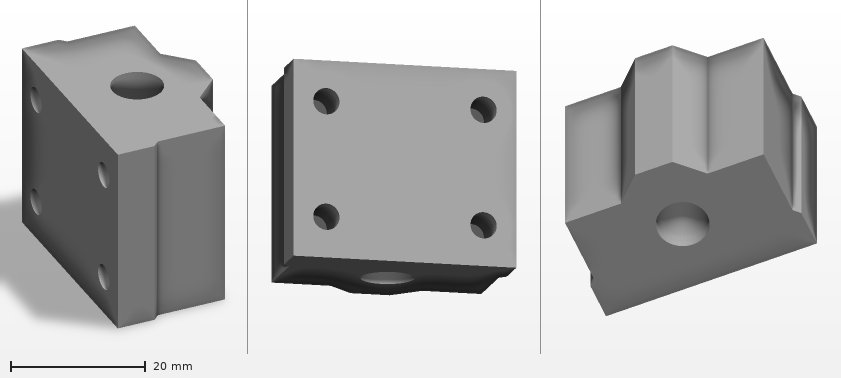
import cadquery as cq

base_width = 34.0
depth = 22.0
height = 30.0

base_depth = 6.0
body_width = 32.0
body_depth = 18.0
ridge_root_width = 14.0
ridge_top_width = 6.0
shoulder = (base_width - body_width) / 2

bore_diameter = 8.0
bore_y = 11.0

hole_diameter = 4.0
hole_depth = 8.0
hole_spacing_x = 24.0
hole_spacing_z = 17.6


def make_body():
    """Extrude the stepped, ridged profile, symmetric about X = 0."""
    right_half = [
        (base_width / 2, 0),
        (base_width / 2, base_depth),
        (body_width / 2, base_depth + shoulder),
        (body_width / 2, body_depth),
        (ridge_root_width / 2, body_depth),
        (ridge_top_width / 2, depth),
    ]
    left_half = [(-x, y) for x, y in reversed(right_half)]
    return cq.Workplane("XY").polyline(right_half + left_half).close().extrude(height)


def make_bore():
    """Cylinder that opens the vertical bore."""
    return cq.Workplane("XY").center(0, bore_y).circle(bore_diameter / 2).extrude(height)


def make_mounting_holes():
    """Four flat-bottomed cylinders entering the Y = 0 face."""
    return (
        cq.Workplane("XZ", origin=(0, 0, height / 2))
        .rect(hole_spacing_x, hole_spacing_z, forConstruction=True)
        .vertices()
        .circle(hole_diameter / 2)
        .extrude(-hole_depth)
    )


result = make_body().cut(make_bore()).cut(make_mounting_holes())